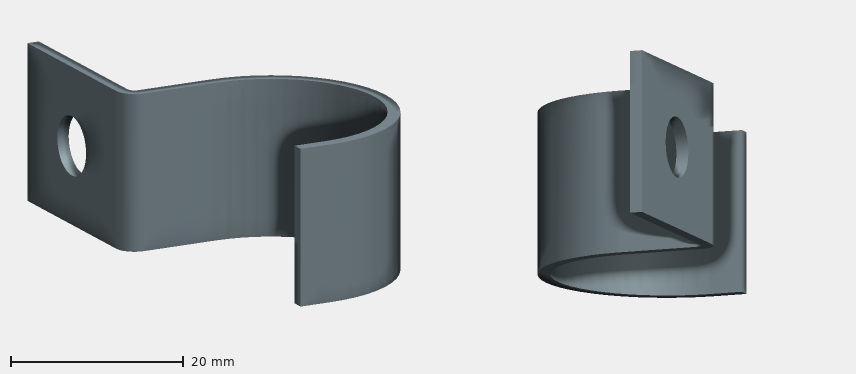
import cadquery as cq

length = 53.1
depth = 26.9
width = 19.05
thickness = 1.5
loop_radius = 15.0
free_leg = 4.0
bend_radius = 2.4
hole_diameter = 7.15
hole_offset = 11.05

inner_radius = loop_radius - thickness
tab_end = loop_radius - length
tab_front = loop_radius - depth
tab_back = tab_front + thickness
inner_bend_radius = bend_radius - thickness
bend_x = -inner_radius - bend_radius
bend_y = tab_front + bend_radius


def strip_profile():
    """Closed edge outline of the bent strip, seen along Z."""
    return (
        cq.Workplane("XY")
        .moveTo(tab_end, tab_front)
        .lineTo(bend_x, tab_front)
        .radiusArc((-inner_radius, bend_y), -bend_radius)
        .lineTo(-inner_radius, 0)
        .threePointArc((0, inner_radius), (inner_radius, 0))
        .lineTo(inner_radius, -free_leg)
        .lineTo(loop_radius, -free_leg)
        .lineTo(loop_radius, 0)
        .threePointArc((0, loop_radius), (-loop_radius, 0))
        .lineTo(-loop_radius, bend_y)
        .radiusArc((bend_x, tab_back), inner_bend_radius)
        .lineTo(tab_end, tab_back)
        .close()
    )


def screw_hole():
    """Cylinder through the flat tab, centred across its width."""
    return (
        cq.Workplane("XZ", origin=(tab_end + hole_offset, tab_back, width / 2))
        .circle(hole_diameter / 2)
        .extrude(thickness)
    )


result = strip_profile().extrude(width).cut(screw_hole())